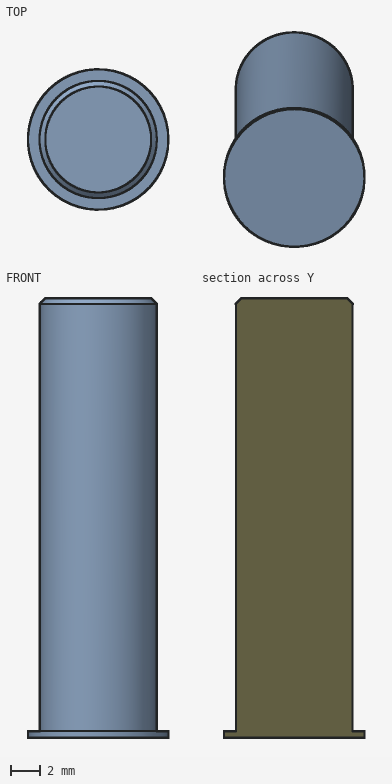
import cadquery as cq

total_height = 30.0
pin_diameter = 8.0
flange_diameter = 9.6
flange_thickness = 0.45

chamfer_size = 0.4

flange = cq.Workplane("XY").circle(flange_diameter / 2).extrude(flange_thickness)

pin = (
    cq.Workplane("XY")
    .circle(pin_diameter / 2)
    .extrude(total_height)
    .faces(">Z")
    .chamfer(chamfer_size)
)

result = flange.union(pin)